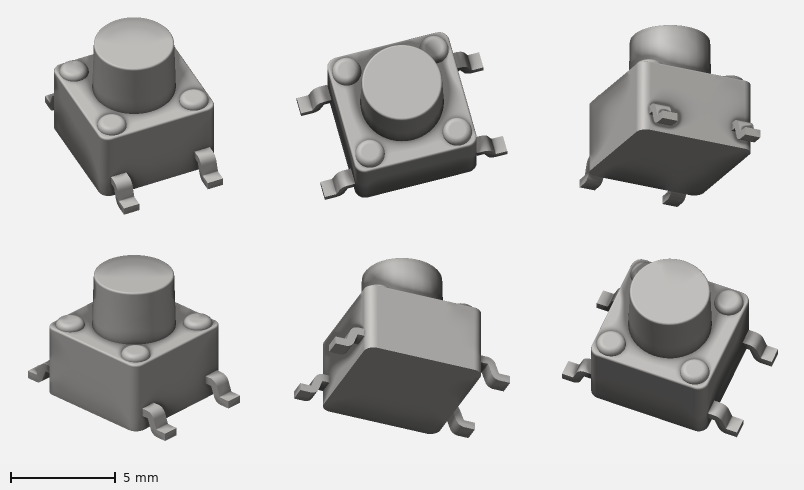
import cadquery as cq
import math

HOUSING_WIDTH = 6.0
HOUSING_HEIGHT = 3.6
CORNER_RADIUS = 0.5
TOP_EDGE_RADIUS = 0.1

OVERALL_HEIGHT = 6.35
BUTTON_BASE_RADIUS = 2.0
BUTTON_TOP_RADIUS = 1.92
BUTTON_EDGE_RADIUS = 0.1

STUD_RADIUS = 0.7
STUD_HEIGHT = 0.3
STUD_OFFSET = 2.15

LEAD_SPAN = 9.0
LEAD_WIDTH = 0.8
LEAD_THICKNESS = 0.4
LEAD_TOP = 1.2
LEAD_OFFSET = 2.2
FOOT_LENGTH = 0.53
LEAD_SLOPE = math.radians(70)
INNER_BEND_RADIUS = 0.05

SIDES = (-1, 1)


def make_housing():
    block = cq.Workplane("XY").box(
        HOUSING_WIDTH, HOUSING_WIDTH, HOUSING_HEIGHT, centered=(True, True, False)
    )
    return block.edges("|Z").fillet(CORNER_RADIUS).faces(">Z").edges().fillet(TOP_EDGE_RADIUS)


def make_button():
    base = cq.Workplane("XY").workplane(offset=HOUSING_HEIGHT).circle(BUTTON_BASE_RADIUS)
    top = base.workplane(offset=OVERALL_HEIGHT - HOUSING_HEIGHT).circle(BUTTON_TOP_RADIUS)
    return top.loft(ruled=True).faces(">Z").edges().fillet(BUTTON_EDGE_RADIUS)


def make_stud(x, y):
    """Round head whose side is a quarter circle from base to flat top."""
    flat_radius = STUD_RADIUS - STUD_HEIGHT
    mid_reach = STUD_HEIGHT * math.sqrt(0.5)
    profile = (
        cq.Workplane("XZ")
        .lineTo(STUD_RADIUS, 0)
        .threePointArc((flat_radius + mid_reach, mid_reach), (flat_radius, STUD_HEIGHT))
        .lineTo(0, STUD_HEIGHT)
        .close()
    )
    return profile.revolve(360, (0, 0, 0), (0, 1, 0)).translate((x, y, HOUSING_HEIGHT))


def make_lead(side, y):
    """Strip swept along its bent centreline from the foot up to the housing wall."""
    bend_radius = INNER_BEND_RADIUS + LEAD_THICKNESS / 2
    bend_run = bend_radius * math.sin(LEAD_SLOPE)
    bend_rise = bend_radius * (1 - math.cos(LEAD_SLOPE))
    low_z = LEAD_THICKNESS / 2
    high_z = LEAD_TOP - LEAD_THICKNESS / 2
    slope_rise = high_z - low_z - 2 * bend_rise
    slope_run = slope_rise / math.tan(LEAD_SLOPE)

    tip_x = -LEAD_SPAN / 2
    foot_end_x = tip_x + FOOT_LENGTH
    slope_start_x = foot_end_x + bend_run
    slope_end_x = slope_start_x + slope_run
    shoulder_x = slope_end_x + bend_run

    centreline = (
        cq.Workplane("XZ")
        .moveTo(tip_x, low_z)
        .lineTo(foot_end_x, low_z)
        .tangentArcPoint((slope_start_x, low_z + bend_rise), relative=False)
        .lineTo(slope_end_x, high_z - bend_rise)
        .tangentArcPoint((shoulder_x, high_z), relative=False)
        .lineTo(-HOUSING_WIDTH / 2, high_z)
    )
    section = cq.Workplane("YZ", origin=(tip_x, 0, low_z)).rect(LEAD_WIDTH, LEAD_THICKNESS)
    left_lead = section.sweep(centreline)
    lead = left_lead if side < 0 else left_lead.mirror("YZ")
    return lead.translate((0, y, 0))


housing = make_housing()
button = make_button()

studs = []
leads = []
for x_side in SIDES:
    for y_side in SIDES:
        studs.append(make_stud(x_side * STUD_OFFSET, y_side * STUD_OFFSET).val())
        leads.append(make_lead(x_side, y_side * LEAD_OFFSET).val())

result = cq.Compound.makeCompound([housing.val(), button.val(), *studs, *leads])